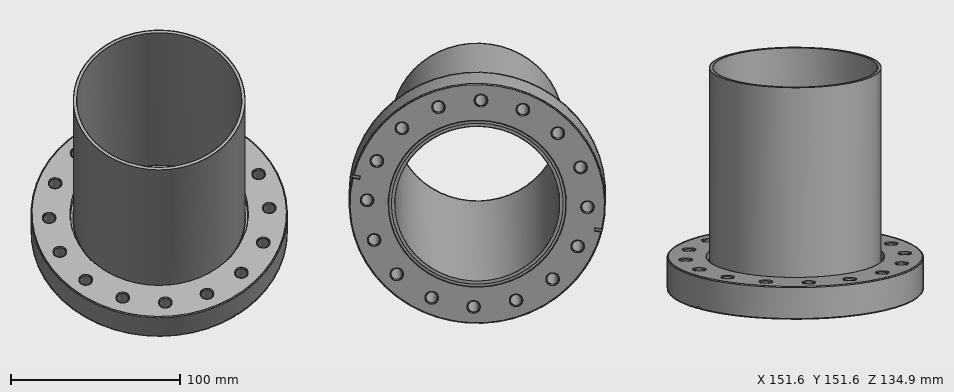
import cadquery as cq

flange_diameter = 151.6
flange_thickness = 20.0
flange_bore_diameter = 105.4
flange_rim_chamfer = 0.6

bolt_hole_count = 16
bolt_hole_spacing = 360.0 / bolt_hole_count
bolt_circle_diameter = 130.4
bolt_hole_diameter = 6.8
bolt_hole_chamfer = 0.6
first_bolt_angle = 15.1

groove_width = 2.0
groove_depth = 1.2
groove_length = 4.5
groove_angle = first_bolt_angle - 1.5 * bolt_hole_spacing

tube_outer_diameter = 101.5
tube_wall = 2.0
tube_inner_diameter = tube_outer_diameter - 2 * tube_wall
overall_height = 134.9

ring_clearance = 0.3
ring_outer_diameter = flange_bore_diameter - 2 * ring_clearance
ring_top_recess = 4.5
ring_height = flange_thickness - ring_top_recess
ring_inner_chamfer = 0.3


def sleeve(outer_diameter, inner_diameter, height):
    """Round sleeve standing on the XY plane."""
    return cq.Workplane("XY").circle(outer_diameter / 2).circle(inner_diameter / 2).extrude(height)


def rotate_about_z(shape, angle):
    """The shape turned by an angle in degrees about the Z axis."""
    return shape.rotate((0, 0, 0), (0, 0, 1), angle)


def make_bolt_hole_cutter():
    """Upright cutter on the Z axis for a through hole chamfered at both ends."""
    radius = bolt_hole_diameter / 2
    mouth_radius = radius + bolt_hole_chamfer
    profile = [
        (0, 0),
        (mouth_radius, 0),
        (radius, bolt_hole_chamfer),
        (radius, flange_thickness - bolt_hole_chamfer),
        (mouth_radius, flange_thickness),
        (0, flange_thickness),
    ]
    axis_start = (0, 0, 0)
    axis_end = (0, 1, 0)
    return cq.Workplane("XZ").polyline(profile).close().revolve(360, axis_start, axis_end)


def make_groove_cutter(angle):
    """Shallow box running in from the flange rim, at the given angle about Z."""
    centre_radius = flange_diameter / 2 - groove_length / 2
    cutter = cq.Workplane("XY").box(groove_length, groove_width, groove_depth, centered=(True, True, False))
    return rotate_about_z(cutter.translate((centre_radius, 0, 0)), angle)


def make_bolt_flange():
    """Thick ring with a chamfered rim, a circle of bolt holes and two rim grooves."""
    flange = sleeve(flange_diameter, flange_bore_diameter, flange_thickness)
    flange = flange.edges(cq.selectors.RadiusNthSelector(-1)).chamfer(flange_rim_chamfer)

    hole_cutter = make_bolt_hole_cutter().translate((bolt_circle_diameter / 2, 0, 0))
    for index in range(bolt_hole_count):
        angle = first_bolt_angle + index * bolt_hole_spacing
        flange = flange.cut(rotate_about_z(hole_cutter, angle))

    for angle in (groove_angle, groove_angle + 180):
        flange = flange.cut(make_groove_cutter(angle))
    return flange


def make_inner_ring():
    """Ring between tube and flange, with a small chamfer around the tube at its top."""
    ring = sleeve(ring_outer_diameter, tube_outer_diameter, ring_height)
    return ring.faces(">Z").edges(cq.selectors.RadiusNthSelector(0)).chamfer(ring_inner_chamfer)


bolt_flange = make_bolt_flange()
inner_ring = make_inner_ring()
tube = sleeve(tube_outer_diameter, tube_inner_diameter, overall_height)

result = cq.Compound.makeCompound([bolt_flange.val(), inner_ring.val(), tube.val()])